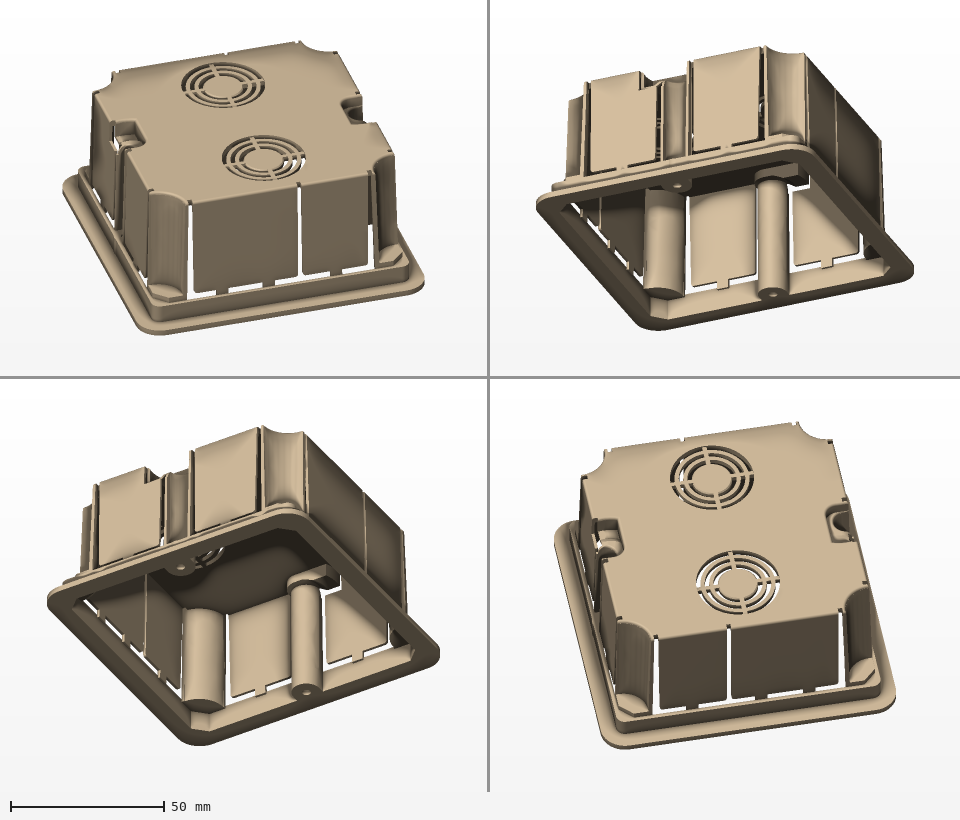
import cadquery as cq
import math

flange_side = 98.0
total_height = 45.0
flange_thickness = 2.0
flange_corner_radius = 8.0
collar_side = 87.8
collar_top = 8.0
collar_corner_radius = 2.9
collar_opening = 85.1

box_root_depth = 1.0
box_half_bottom = 42.6
box_half_top = 41.7
wall = 1.0
roof_thickness = 2.2
rim_radius = 0.9

corner_axis = 41.5
corner_radius_bottom = 8.0
corner_radius_top = 9.1
corner_wall = 1.1
corner_floor_top = 10.0
corner_chamfer = 4.4

screw_y = -40.2
screw_hole_radius = 1.5
channel_radius = 3.9
channel_wall = 1.0
channel_draft = 0.2
channel_lip_radius = 0.8

claw_axis_y = -37.7
claw_turn_radius = 4.1
claw_reach = 12.1
claw_high_floor = 40.9
claw_low_floor = 39.1
claw_ramp_inner = 5.9
claw_ramp_outer = 8.5
claw_floor_thickness = 1.0
claw_window_sill = 37.2
claw_window_side = -12.8

slot_depth_limit = 39.9
window_half_top = 31.4
window_half_bottom = 32.1
panel_outer_edge = 29.9
panel_bottom = 10.0
panel_corner_radius = 1.0
tab_width = 3.9
channel_panel_gap_edge = 6.5
panel_draft = 0.3
front_tab_x = 18.4
side_slot_edges = (5.8, 7.2)
side_tab_places = (-20.0, -4.1, 18.8)

vent_x = 22.8
vent_radius = 13.7
vent_slot_width = 1.5
vent_pitch = 2.8
vent_ring_count = 3
vent_spoke_width = 1.5
vent_sink = 0.5
vent_disc_chamfer = 0.4

box_bottom = collar_top - box_root_depth
box_height = total_height - box_bottom
box_taper = math.degrees(math.atan((box_half_bottom - box_half_top) / box_height))
corner_height = total_height - corner_floor_top
corner_taper = math.degrees(math.atan((corner_radius_top - corner_radius_bottom) / corner_height))
channel_outer_radius = channel_radius + channel_wall
channel_taper = math.degrees(math.atan(channel_draft / (claw_high_floor - collar_top)))
outside = flange_side / 2
QUARTER_TURNS = (0, 90, 180, 270)
HALF_TURNS = (0, 180)


def rectangle(left, right, bottom, top):
    """Corner points of an upright rectangle."""
    return [(left, bottom), (right, bottom), (right, top), (left, top)]


def turned(shape, angle):
    """Copy of a shape turned about the vertical centre line."""
    return shape.rotate((0, 0, 0), (0, 0, 1), angle)


def tapered_block(half_side, bottom, top):
    """Square block whose sides lean in like the box walls."""
    return (
        cq.Workplane("XY")
        .workplane(offset=bottom)
        .rect(2 * half_side, 2 * half_side)
        .extrude(top - bottom, taper=box_taper)
    )


def corner_prism(radius, bottom):
    """Rounded prism over the (-X, -Y) corner, widening upward to the roof."""
    inner = radius - corner_axis
    return (
        cq.Workplane("XY")
        .workplane(offset=bottom)
        .moveTo(-outside, -outside)
        .lineTo(inner, -outside)
        .lineTo(inner, -corner_axis)
        .radiusArc((-corner_axis, inner), -radius)
        .lineTo(-outside, inner)
        .close()
        .extrude(total_height - bottom, taper=-corner_taper)
    )


def channel_prism(radius, bottom, top, taper=0):
    """U-shaped prism round the front screw axis, open toward the front."""
    return (
        cq.Workplane("XY")
        .workplane(offset=bottom)
        .moveTo(-radius, -outside)
        .lineTo(radius, -outside)
        .lineTo(radius, screw_y)
        .threePointArc((0, screw_y + radius), (-radius, screw_y))
        .close()
        .extrude(top - bottom, taper=taper)
    )


def round_flare(mouth_radius, lip_radius, top):
    """Disc with a flared edge that rounds over the mouth of a circular pocket."""
    return (
        cq.Workplane("XZ")
        .moveTo(0, top - lip_radius)
        .lineTo(mouth_radius, top - lip_radius)
        .radiusArc((mouth_radius + lip_radius, top), lip_radius)
        .lineTo(0, top)
        .close()
        .revolve(360, (0, 0), (0, 1))
    )


def claw_outline(margin):
    """Plan of the front claw recess, grown outward by a margin, as a tall prism."""
    turn = claw_turn_radius + margin
    reach = claw_reach + margin
    reach_x = -math.sqrt(reach**2 - turn**2)
    front_x = -math.sqrt(reach**2 - (box_half_bottom + claw_axis_y) ** 2)
    return (
        cq.Workplane("XY")
        .moveTo(front_x, -outside)
        .lineTo(turn, -outside)
        .lineTo(turn, claw_axis_y)
        .radiusArc((0, claw_axis_y + turn), -turn)
        .lineTo(reach_x, claw_axis_y + turn)
        .radiusArc((front_x, -box_half_bottom), -reach)
        .close()
        .extrude(total_height)
    )


def claw_space(drop):
    """Space above the claw floor, or above its underside when lowered by a drop.

    The floor is flat round the claw axis, then falls along a cone to a lower flat.
    """
    return (
        cq.Workplane("XZ")
        .moveTo(0, claw_high_floor - drop)
        .lineTo(claw_ramp_inner, claw_high_floor - drop)
        .lineTo(claw_ramp_outer, claw_low_floor - drop)
        .lineTo(outside, claw_low_floor - drop)
        .lineTo(outside, total_height)
        .lineTo(0, total_height)
        .close()
        .revolve(360, (0, 0), (0, 1))
        .translate((0, claw_axis_y, 0))
    )


def front_prism(points):
    """Prism of an X-Z outline reaching from outside the front wall to the slot depth."""
    return (
        cq.Workplane("XZ", origin=(0, -slot_depth_limit, 0))
        .polyline(points)
        .close()
        .extrude(outside - slot_depth_limit)
    )


def panel(left_bottom, left_top, right_bottom, right_top):
    """Wall panel with rounded lower corners."""
    blank = front_prism([
        (left_bottom, panel_bottom),
        (right_bottom, panel_bottom),
        (right_top, total_height),
        (left_top, total_height),
    ])
    return blank.faces("<Z").edges("|Y").fillet(panel_corner_radius)


def wall_window():
    """Whole opening of a wall between two corner posts."""
    return front_prism([
        (-window_half_bottom, box_bottom),
        (window_half_bottom, box_bottom),
        (window_half_top, total_height),
        (-window_half_top, total_height),
    ])


def tab(x):
    """Short bridge from the collar to a panel."""
    half = tab_width / 2
    top = panel_bottom + panel_corner_radius
    return front_prism(rectangle(x - half, x + half, box_bottom, top))


def front_slots():
    """Slots round the two front panels, leaving the screw channel walls."""
    outer_bottom = panel_outer_edge - panel_draft
    inner_bottom = channel_panel_gap_edge + panel_draft
    post = channel_outer_radius
    right = panel(inner_bottom, channel_panel_gap_edge, outer_bottom, panel_outer_edge)
    slots = wall_window().cut(right).cut(right.mirror("YZ"))
    slots = slots.cut(tab(front_tab_x)).cut(tab(-front_tab_x))
    return slots.cut(front_prism(rectangle(-post, post, box_bottom, total_height)))


def side_slots():
    """Slots round the wide and the narrow panel of a side wall, drawn in the front wall position."""
    outer_bottom = panel_outer_edge - panel_draft
    near, far = side_slot_edges
    slots = wall_window()
    slots = slots.cut(panel(-outer_bottom, -panel_outer_edge, near, near))
    slots = slots.cut(panel(far + panel_draft, far, outer_bottom, panel_outer_edge))
    for place in side_tab_places:
        slots = slots.cut(tab(place))
    return slots


box = tapered_block(box_half_bottom, box_bottom, total_height)
claw_recess = claw_outline(0).intersect(claw_space(0))
for angle in HALF_TURNS:
    box = box.cut(turned(claw_recess, angle))
box = box.faces(">Z").edges().fillet(rim_radius)

corner_pocket = corner_prism(corner_radius_bottom, corner_floor_top)
corner_flare = round_flare(corner_radius_top, rim_radius, total_height)
corner_flare = corner_flare.translate((-corner_axis, -corner_axis, 0))
for angle in QUARTER_TURNS:
    box = box.cut(turned(corner_pocket, angle)).cut(turned(corner_flare, angle))

channel = channel_prism(channel_radius, collar_top, total_height, -channel_taper)
channel_lip = round_flare(channel_radius + channel_draft, channel_lip_radius, claw_high_floor)
channel = channel.union(channel_lip.translate((0, screw_y, 0)))
for angle in HALF_TURNS:
    box = box.cut(turned(channel, angle))

round_over_radius = claw_high_floor - claw_window_sill
round_over = (
    cq.Workplane("YZ")
    .moveTo(claw_axis_y, claw_high_floor)
    .radiusArc((claw_axis_y - round_over_radius, claw_window_sill), -round_over_radius)
    .lineTo(-outside, claw_window_sill)
    .lineTo(-outside, claw_high_floor)
    .close()
    .extrude(-claw_ramp_outer)
)
for angle in HALF_TURNS:
    box = box.cut(turned(round_over, angle))

channel_lining = channel_prism(channel_outer_radius, box_bottom, claw_high_floor, -channel_taper)
claw_lining = claw_outline(wall).intersect(claw_space(claw_floor_thickness))
linings = channel_lining.union(claw_lining)
cavity = tapered_block(box_half_bottom - wall, box_bottom, total_height - roof_thickness)
for angle in HALF_TURNS:
    cavity = cavity.cut(turned(linings, angle))
corner_lining = corner_prism(corner_radius_bottom + corner_wall, box_bottom)
for angle in QUARTER_TURNS:
    cavity = cavity.cut(turned(corner_lining, angle))
box = box.cut(cavity)

foot_cut = (
    cq.Workplane("XY")
    .workplane(offset=box_bottom)
    .polyline([
        (-box_half_bottom, -box_half_bottom),
        (corner_chamfer - box_half_bottom, -box_half_bottom),
        (-box_half_bottom, corner_chamfer - box_half_bottom),
    ])
    .close()
    .extrude(corner_floor_top - box_bottom)
)
for angle in QUARTER_TURNS:
    box = box.cut(turned(foot_cut, angle))

slots_front = front_slots()
slots_right = turned(side_slots(), 90)
box = box.cut(slots_front).cut(slots_front.mirror("XZ"))
box = box.cut(slots_right).cut(slots_right.mirror("YZ"))

claw_window = front_prism(
    rectangle(claw_window_side, -channel_panel_gap_edge, claw_window_sill, total_height)
)
for angle in HALF_TURNS:
    box = box.cut(turned(claw_window, angle))


def vent_cutter():
    """Shallow round sink with three rings of slots below, crossed by four spokes."""
    bottom = total_height - roof_thickness
    depth = roof_thickness
    rings = cq.Workplane("XY")
    for index in range(vent_ring_count):
        outer = vent_radius - index * vent_pitch
        ring = cq.Workplane("XY").circle(outer).circle(outer - vent_slot_width).extrude(depth)
        rings = rings.union(ring)
    disc_radius = vent_radius - (vent_ring_count - 1) * vent_pitch - vent_slot_width
    disc_top = depth - vent_sink
    disc_edge = (
        cq.Workplane("XZ")
        .moveTo(disc_radius, disc_top - vent_disc_chamfer)
        .lineTo(disc_radius + vent_slot_width / 2, disc_top)
        .lineTo(disc_radius - vent_disc_chamfer, disc_top)
        .close()
        .revolve(360, (0, 0), (0, 1))
    )
    rings = rings.union(disc_edge)
    for angle in (0, 90):
        spoke = cq.Workplane("XY").box(2 * vent_radius, vent_spoke_width, 2 * depth)
        rings = rings.cut(turned(spoke, angle))
    sink = cq.Workplane("XY").workplane(offset=depth - vent_sink).circle(vent_radius).extrude(vent_sink)
    return rings.union(sink).translate((0, 0, bottom))


for side in (-1, 1):
    box = box.cut(vent_cutter().translate((side * vent_x, 0, 0)))


def rounded_plate(side, radius, thickness):
    """Square plate with rounded vertical edges."""
    plate = cq.Workplane("XY").rect(side, side).extrude(thickness)
    return plate.edges("|Z").fillet(radius)


frame = rounded_plate(flange_side, flange_corner_radius, flange_thickness)
collar = rounded_plate(collar_side, collar_corner_radius, collar_top)
frame = frame.union(collar)
opening = cq.Workplane("XY").rect(collar_opening, collar_opening).extrude(collar_top)
frame = frame.cut(opening.edges("|Z").chamfer(corner_chamfer))

post = channel_prism(channel_outer_radius, 0, collar_top).intersect(collar)
post = post.union(cq.Workplane("XY").center(0, screw_y).circle(channel_radius).extrude(collar_top))
screw_hole = cq.Workplane("XY").center(0, screw_y).circle(screw_hole_radius).extrude(collar_top)
result = frame.union(box)
for angle in HALF_TURNS:
    result = result.union(turned(post, angle)).cut(turned(screw_hole, angle))